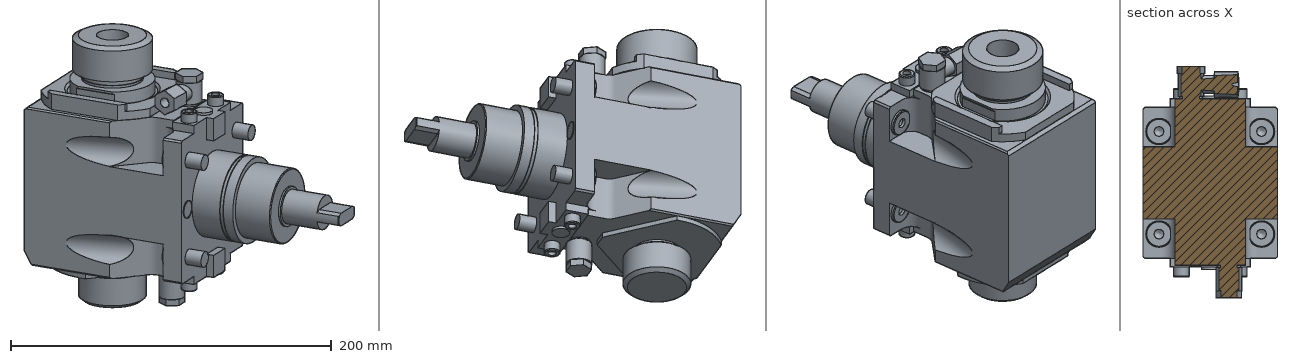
import cadquery as cq
import math


HALF_WIDTH = 42.0
BODY_LEFT = -110.45
BODY_TOP = 52.5
BODY_BOTTOM = -51.5
TOP_FRONT_CHAMFER = 2.0
SIDE_CHAMFER = 1.0
BOTTOM_CHAMFER_RISE = 9.4
BOTTOM_CHAMFER_RUN = BOTTOM_CHAMFER_RISE * math.tan(math.radians(30))
SHOULDER_X = -50.4
NECK_HALF_WIDTH = 22.0
NECK_END = -15.7
CORNER_RADIUS = 8.0
WEB_HALF_HEIGHT = 22.6

FLANGE_THICKNESS = 12.8
FLANGE_HALF_HEIGHT = 47.2
FLANGE_CHAMFER = 1.2
BLOCK_LENGTH = 15.0
BLOCK_HALF_WIDTH = 25.0
KEY_LENGTH = 5.0
KEY_HALF_WIDTH = 7.7
KEY_HEIGHT = 14.7
BOLT_OFFSET = 32.0
BOLT_DIAMETER = 10.0
BOLT_REACH = 11.2
BOLT_HEAD_DIAMETER = 16.5
BOLT_HEAD_HEIGHT = 2.0
BOLT_HEAD_CHAMFER = 0.6
BOLT_SOCKET_DIAMETER = 6.0
BOLT_SOCKET_DEPTH = 2.0
FACE_PLUG_Y = 34.0
FACE_PLUG_DIAMETER = 11.2
FACE_PLUG_HEIGHT = 0.6

CAP_SCREW_X = -6.9
CAP_SCREW_Y = 18.0
CAP_SCREW_DIAMETER = 10.0
CAP_SCREW_HEIGHT = 6.4
CAP_SCREW_CHAMFER = 0.6
CAP_SOCKET_DIAMETER = 5.2
CAP_SOCKET_DEPTH = 2.5
BLOCK_PLUG_X = -6.0
BLOCK_PLUG_DIAMETER = 11.2
BLOCK_PLUG_HEIGHT = 1.7

SCOOP_RADIUS = 9.8
SCOOP_Z = 32.4
SCOOP_TIP_X = -80.9
SCOOP_ANGLE = 15.0
SCOOP_LENGTH = 100.0

DRILL_POINT_ANGLE = 118.0

SHANK_DIAMETER = 55.0
GROOVE_DIAMETER = 53.6
GROOVE_START = 19.4
GROOVE_END = 21.7
SHANK_END = 28.6
NOSE_DIAMETER = 48.0
NOSE_END = 53.1
NOSE_CHAMFER = 0.6
SEAL_DIAMETER = 25.6
SEAL_END = 54.4
SHAFT_DIAMETER = 22.0
SHAFT_END = 79.0
TANG_END = 94.45
TANG_HALF_THICKNESS = 4.2
TANG_EDGE_HALF_THICKNESS = 2.8
TANG_FLAT_HALF_WIDTH = 7.6
TANG_END_CHAMFER = 0.5

SPINDLE_X = -70.0
COVER_HALF_SIZE = 38.2
COVER_RADIUS = 44.6
COVER_TOP = 58.2
COVER_BORE_DIAMETER = 59.7
COVER_BORE_FLOOR_DIAMETER = 56.5
COVER_BORE_DEPTH = 1.5
RAIL_HALF_LENGTH = 27.0
RAIL_INNER_Y = 32.4
RAIL_TOP = 62.8
COLLAR_DIAMETER = 53.3
COLLAR_TOP = 65.1
COLLAR_LIP_HEIGHT = 1.6
COLLAR_LIP_HALF_WIDTH = 23.8
COLLAR_FLAT_HALF_WIDTH = 23.1
UPPER_NECK_DIAMETER = 39.8
UPPER_RELIEF_DIAMETER = 38.6
UPPER_RELIEF_TOP = 66.9
UPPER_NUT_DIAMETER = 50.2
UPPER_NUT_BOTTOM = 71.3
UPPER_NUT_TOP = 93.6
UPPER_NUT_CHAMFER_RUN = 3.8
UPPER_NUT_CHAMFER_RISE = 2.0
SPINDLE_BORE_DIAMETER = 20.0
SPINDLE_BORE_DEPTH = 25.0

LOWER_COVER_BOTTOM = -54.6
LOWER_COVER_RADIUS = 41.0
LOWER_COVER_LEFT = -104.8
LOWER_COVER_RIGHT = -32.0
LOWER_COVER_SHOULDER_X = -68.0
LOWER_RELIEF_DIAMETER = 30.2
LOWER_RELIEF_BOTTOM = -56.5
LOWER_NECK_DIAMETER = 32.2
LOWER_NUT_DIAMETER = 42.4
LOWER_NUT_TOP = -60.0
LOWER_NUT_BOTTOM = -80.22
LOWER_NUT_CHAMFER_RUN = 2.7
LOWER_NUT_CHAMFER_RISE = 2.3

FITTING_X = -22.3
FITTING_Y = 12.0
LOWER_FITTING_Y = -11.6
FITTING_DIAMETER = 16.2
FITTING_FOOT_DIAMETER = 14.6
FITTING_FOOT_HEIGHT = 1.4
UPPER_FITTING_TOP = 68.2
UPPER_FITTING_HEX_TOP = 72.6
LOWER_FITTING_BOTTOM = -67.5
LOWER_FITTING_HEX_BOTTOM = -71.8
FITTING_HEX_FLATS = 13.9
UPPER_HEX_FLATS = 15.0
NOZZLE_Z = 61.3
NOZZLE_TURN = 4.1
NOZZLE_PIPE_DIAMETER = 11.4
NOZZLE_HEX_START = 14.7
NOZZLE_END = 29.4
NOZZLE_HOLE_DIAMETER = 6.2
NOZZLE_HOLE_DEPTH = 8.0


def span_box(x0, x1, y0, y1, z0, z1):
    """Box between opposite corners."""
    return cq.Workplane("XY").box(x1 - x0, y1 - y0, z1 - z0, centered=False).translate((x0, y0, z0))


def disc(x, y, z0, z1, diameter):
    """Upright cylinder between two heights."""
    return cq.Workplane("XY", origin=(x, y, z0)).circle(diameter / 2).extrude(z1 - z0)


def rod(y, z, x0, x1, diameter):
    """Cylinder along X between two positions."""
    return cq.Workplane("YZ", origin=(x0, y, z)).circle(diameter / 2).extrude(x1 - x0)


def drilling(mouth, direction, diameter, depth):
    """Blind round hole with a conical drill point beyond its straight depth."""
    axis = cq.Vector(*direction)
    start = cq.Vector(*mouth)
    point_depth = diameter / 2 / math.tan(math.radians(DRILL_POINT_ANGLE / 2))
    straight = cq.Solid.makeCylinder(diameter / 2, depth, start, axis)
    point = cq.Solid.makeCone(diameter / 2, 0, point_depth, start + axis * depth, axis)
    return cq.Workplane(straight).union(cq.Workplane(point))


def hexagon(workplane, flats):
    """Hexagon outline with two corners on the local X axis."""
    return workplane.polygon(6, flats / math.cos(math.radians(30)))


def hex_bar(x, y, z0, z1, flats):
    """Upright hexagonal bar with a corner facing -Y."""
    bar = hexagon(cq.Workplane("XY"), flats).extrude(z1 - z0)
    return bar.rotate((0, 0, 0), (0, 0, 1), 90).translate((x, y, z0))


def make_housing():
    run = HALF_WIDTH - NECK_HALF_WIDTH
    corner_x = SHOULDER_X + run
    tangent = CORNER_RADIUS * math.tan(math.radians(22.5))
    diagonal_end = (
        corner_x - tangent * math.cos(math.radians(45)),
        NECK_HALF_WIDTH + tangent * math.sin(math.radians(45)),
    )
    neck_start = (corner_x + tangent, NECK_HALF_WIDTH)
    half = (
        cq.Workplane("XY", origin=(0, 0, BODY_BOTTOM))
        .moveTo(BODY_LEFT, 0)
        .lineTo(BODY_LEFT, HALF_WIDTH)
        .lineTo(SHOULDER_X, HALF_WIDTH)
        .lineTo(*diagonal_end)
        .tangentArcPoint(neck_start, relative=False)
        .lineTo(NECK_END, NECK_HALF_WIDTH)
        .lineTo(NECK_END, 0)
        .close()
        .extrude(BODY_TOP - BODY_BOTTOM)
    )
    housing = half.union(half.mirror("XZ"))

    side_profile = (
        cq.Workplane("XZ")
        .polyline([
            (BODY_LEFT, BODY_BOTTOM + BOTTOM_CHAMFER_RISE),
            (BODY_LEFT, BODY_TOP - TOP_FRONT_CHAMFER),
            (BODY_LEFT + TOP_FRONT_CHAMFER, BODY_TOP),
            (0, BODY_TOP),
            (0, BODY_BOTTOM),
            (BODY_LEFT + BOTTOM_CHAMFER_RUN, BODY_BOTTOM),
        ])
        .close()
        .extrude(HALF_WIDTH, both=True)
    )
    end_profile = (
        cq.Workplane("YZ", origin=(BODY_LEFT, 0, (BODY_TOP + BODY_BOTTOM) / 2))
        .rect(2 * HALF_WIDTH, BODY_TOP - BODY_BOTTOM)
        .extrude(-BODY_LEFT)
        .edges("|X")
        .chamfer(SIDE_CHAMFER)
    )
    housing = housing.intersect(side_profile).intersect(end_profile)
    for y_side in (1, -1):
        for z_side in (1, -1):
            housing = housing.cut(make_scoop(y_side, z_side))
    web = span_box(SHOULDER_X, 0, -HALF_WIDTH, HALF_WIDTH, -WEB_HALF_HEIGHT, WEB_HALF_HEIGHT)
    return housing.union(web)


def make_scoop(y_side, z_side):
    """Round cutter running into the side of the housing at a shallow angle."""
    angle = math.radians(SCOOP_ANGLE)
    direction = (math.cos(angle), -y_side * math.sin(angle), 0)
    tip = cq.Vector(SCOOP_TIP_X, y_side * HALF_WIDTH, z_side * SCOOP_Z)
    to_axis = cq.Vector(math.sin(angle), y_side * math.cos(angle), 0) * SCOOP_RADIUS
    start = tip + to_axis - cq.Vector(*direction) * (SCOOP_LENGTH / 2)
    return cq.Workplane(cq.Solid.makeCylinder(SCOOP_RADIUS, SCOOP_LENGTH, start, cq.Vector(*direction)))


def make_flange():
    fillet_y = NECK_HALF_WIDTH + CORNER_RADIUS
    half = (
        cq.Workplane("XY", origin=(0, 0, -FLANGE_HALF_HEIGHT))
        .lineTo(0, HALF_WIDTH)
        .lineTo(-FLANGE_THICKNESS, HALF_WIDTH)
        .lineTo(-FLANGE_THICKNESS, fillet_y)
        .tangentArcPoint((-FLANGE_THICKNESS - CORNER_RADIUS, NECK_HALF_WIDTH), relative=False)
        .lineTo(-FLANGE_THICKNESS - CORNER_RADIUS, 0)
        .close()
        .extrude(2 * FLANGE_HALF_HEIGHT)
    )
    half = half.faces(">Y").edges("|X").chamfer(FLANGE_CHAMFER)
    flange = half.union(half.mirror("XZ"))
    for side in (1, -1):
        block = span_box(
            -BLOCK_LENGTH, 0, -BLOCK_HALF_WIDTH, BLOCK_HALF_WIDTH, FLANGE_HALF_HEIGHT, BODY_TOP)
        flange = flange.union(block if side > 0 else block.mirror("XY"))
        key = span_box(0, KEY_LENGTH, -KEY_HALF_WIDTH, KEY_HALF_WIDTH, BODY_TOP - KEY_HEIGHT, BODY_TOP)
        flange = flange.union(key if side > 0 else key.mirror("XY"))
        flange = flange.union(rod(side * FACE_PLUG_Y, 0, 0, FACE_PLUG_HEIGHT, FACE_PLUG_DIAMETER))
    return flange


def add_mounting_bolts(part):
    head_x = -FLANGE_THICKNESS - BOLT_HEAD_HEIGHT
    for y in (-BOLT_OFFSET, BOLT_OFFSET):
        for z in (-BOLT_OFFSET, BOLT_OFFSET):
            head = rod(y, z, head_x, -FLANGE_THICKNESS, BOLT_HEAD_DIAMETER)
            part = part.union(head.faces("<X").edges().chamfer(BOLT_HEAD_CHAMFER))
            part = part.union(rod(y, z, 0, BOLT_REACH, BOLT_DIAMETER))
            part = part.cut(drilling((head_x, y, z), (1, 0, 0), BOLT_SOCKET_DIAMETER, BOLT_SOCKET_DEPTH))
    return part


def make_block_hardware():
    """Socket screws and plug standing on the top of the flange block."""
    screw_top = BODY_TOP + CAP_SCREW_HEIGHT
    hardware = disc(BLOCK_PLUG_X, 0, BODY_TOP, BODY_TOP + BLOCK_PLUG_HEIGHT, BLOCK_PLUG_DIAMETER)
    for y in (-CAP_SCREW_Y, CAP_SCREW_Y):
        screw = disc(CAP_SCREW_X, y, BODY_TOP, screw_top, CAP_SCREW_DIAMETER)
        screw = screw.faces(">Z").edges().chamfer(CAP_SCREW_CHAMFER)
        socket = drilling((CAP_SCREW_X, y, screw_top), (0, 0, -1), CAP_SOCKET_DIAMETER, CAP_SOCKET_DEPTH)
        hardware = hardware.union(screw.cut(socket))
    return hardware


def make_shank():
    shank = rod(0, 0, 0, SHANK_END, SHANK_DIAMETER)
    groove = rod(0, 0, GROOVE_START, GROOVE_END, SHANK_DIAMETER)
    groove = groove.cut(rod(0, 0, GROOVE_START, GROOVE_END, GROOVE_DIAMETER))
    nose = rod(0, 0, SHANK_END, NOSE_END, NOSE_DIAMETER).faces(">X").edges().chamfer(NOSE_CHAMFER)
    seal = rod(0, 0, NOSE_END, SEAL_END, SEAL_DIAMETER)
    shaft = rod(0, 0, SEAL_END, SHAFT_END, SHAFT_DIAMETER)
    tang_round = rod(0, 0, SHAFT_END, TANG_END, SHAFT_DIAMETER)
    tang_round = tang_round.faces(">X").edges().chamfer(TANG_END_CHAMFER)
    tang_profile = (
        cq.Workplane("YZ", origin=(SHAFT_END, 0, 0))
        .polyline([
            (-TANG_FLAT_HALF_WIDTH, TANG_HALF_THICKNESS),
            (TANG_FLAT_HALF_WIDTH, TANG_HALF_THICKNESS),
            (SHAFT_DIAMETER / 2, TANG_EDGE_HALF_THICKNESS),
            (SHAFT_DIAMETER / 2, -TANG_EDGE_HALF_THICKNESS),
            (TANG_FLAT_HALF_WIDTH, -TANG_HALF_THICKNESS),
            (-TANG_FLAT_HALF_WIDTH, -TANG_HALF_THICKNESS),
            (-SHAFT_DIAMETER / 2, -TANG_EDGE_HALF_THICKNESS),
            (-SHAFT_DIAMETER / 2, TANG_EDGE_HALF_THICKNESS),
        ])
        .close()
        .extrude(TANG_END - SHAFT_END)
    )
    tang = tang_round.intersect(tang_profile)
    return shank.cut(groove).union(nose).union(seal).union(shaft).union(tang)


def make_upper_cover():
    """Square cover with rounded corners, two rails and a tapered recess."""
    outline = span_box(
        SPINDLE_X - COVER_HALF_SIZE, SPINDLE_X + COVER_HALF_SIZE,
        -COVER_HALF_SIZE, COVER_HALF_SIZE, BODY_TOP, RAIL_TOP)
    outline = outline.intersect(disc(SPINDLE_X, 0, BODY_TOP, RAIL_TOP, 2 * COVER_RADIUS))
    above_plate = span_box(
        SPINDLE_X - COVER_RADIUS, SPINDLE_X + COVER_RADIUS,
        -COVER_RADIUS, COVER_RADIUS, COVER_TOP, RAIL_TOP)
    for side in (1, -1):
        rail = span_box(
            SPINDLE_X - RAIL_HALF_LENGTH, SPINDLE_X + RAIL_HALF_LENGTH,
            RAIL_INNER_Y, COVER_HALF_SIZE, COVER_TOP, RAIL_TOP)
        above_plate = above_plate.cut(rail if side > 0 else rail.mirror("XZ"))
    recess = cq.Solid.makeCone(
        COVER_BORE_FLOOR_DIAMETER / 2, COVER_BORE_DIAMETER / 2, COVER_BORE_DEPTH,
        cq.Vector(SPINDLE_X, 0, COVER_TOP - COVER_BORE_DEPTH))
    return outline.cut(above_plate).cut(cq.Workplane(recess))


def make_upper_spindle():
    recess_floor = COVER_TOP - COVER_BORE_DEPTH
    lip_bottom = COLLAR_TOP - COLLAR_LIP_HEIGHT
    radius = COLLAR_DIAMETER / 2
    collar = disc(SPINDLE_X, 0, recess_floor, COLLAR_TOP, COLLAR_DIAMETER)
    flats = span_box(
        SPINDLE_X - radius, SPINDLE_X + radius,
        -COLLAR_FLAT_HALF_WIDTH, COLLAR_FLAT_HALF_WIDTH, recess_floor, lip_bottom)
    flats = flats.union(span_box(
        SPINDLE_X - radius, SPINDLE_X + radius,
        -COLLAR_LIP_HALF_WIDTH, COLLAR_LIP_HALF_WIDTH, lip_bottom, COLLAR_TOP))
    spindle = collar.intersect(flats)
    spindle = spindle.union(disc(SPINDLE_X, 0, COLLAR_TOP, UPPER_RELIEF_TOP, UPPER_RELIEF_DIAMETER))
    spindle = spindle.union(disc(SPINDLE_X, 0, UPPER_RELIEF_TOP, UPPER_NUT_BOTTOM, UPPER_NECK_DIAMETER))
    nut = disc(SPINDLE_X, 0, UPPER_NUT_BOTTOM, UPPER_NUT_TOP, UPPER_NUT_DIAMETER)
    nut = nut.faces(">Z").edges().chamfer(UPPER_NUT_CHAMFER_RISE, UPPER_NUT_CHAMFER_RUN)
    bore = disc(SPINDLE_X, 0, UPPER_NUT_TOP - SPINDLE_BORE_DEPTH, UPPER_NUT_TOP, SPINDLE_BORE_DIAMETER)
    return spindle.union(nut).cut(bore)


def make_lower_cover():
    """Round cover with a flat on the left and 45 degree flanks on the right."""
    right_half_width = LOWER_COVER_RADIUS - (LOWER_COVER_RIGHT - LOWER_COVER_SHOULDER_X)
    left_half_width = math.sqrt(LOWER_COVER_RADIUS ** 2 - (LOWER_COVER_LEFT - SPINDLE_X) ** 2)
    shoulder_y = math.sqrt(LOWER_COVER_RADIUS ** 2 - (LOWER_COVER_SHOULDER_X - SPINDLE_X) ** 2)
    arc_x = SPINDLE_X - LOWER_COVER_RADIUS * math.cos(math.radians(60))
    arc_y = LOWER_COVER_RADIUS * math.sin(math.radians(60))
    return (
        cq.Workplane("XY", origin=(0, 0, LOWER_COVER_BOTTOM))
        .moveTo(LOWER_COVER_LEFT, -left_half_width)
        .threePointArc((arc_x, -arc_y), (LOWER_COVER_SHOULDER_X, -shoulder_y))
        .lineTo(LOWER_COVER_RIGHT, -right_half_width)
        .lineTo(LOWER_COVER_RIGHT, right_half_width)
        .lineTo(LOWER_COVER_SHOULDER_X, shoulder_y)
        .threePointArc((arc_x, arc_y), (LOWER_COVER_LEFT, left_half_width))
        .close()
        .extrude(BODY_BOTTOM - LOWER_COVER_BOTTOM)
    )


def make_lower_spindle():
    relief = disc(SPINDLE_X, 0, LOWER_RELIEF_BOTTOM, LOWER_COVER_BOTTOM, LOWER_RELIEF_DIAMETER)
    neck = disc(SPINDLE_X, 0, LOWER_NUT_TOP, LOWER_RELIEF_BOTTOM, LOWER_NECK_DIAMETER)
    nut = disc(SPINDLE_X, 0, LOWER_NUT_BOTTOM, LOWER_NUT_TOP, LOWER_NUT_DIAMETER)
    nut = nut.faces("<Z").edges().chamfer(LOWER_NUT_CHAMFER_RISE, LOWER_NUT_CHAMFER_RUN)
    return relief.union(neck).union(nut)


def make_nozzle():
    """Pipe and hexagonal nozzle leaving the upper fitting towards -Y."""
    pipe = cq.Workplane("XZ").circle(NOZZLE_PIPE_DIAMETER / 2).extrude(NOZZLE_HEX_START)
    head = hexagon(cq.Workplane("XZ", origin=(0, -NOZZLE_HEX_START, 0)), FITTING_HEX_FLATS)
    head = head.extrude(NOZZLE_END - NOZZLE_HEX_START).rotate((0, 0, 0), (0, 1, 0), 90)
    hole = drilling((0, -NOZZLE_END, 0), (0, 1, 0), NOZZLE_HOLE_DIAMETER, NOZZLE_HOLE_DEPTH)
    nozzle = pipe.union(head).cut(hole).rotate((0, 0, 0), (0, 0, 1), -NOZZLE_TURN)
    return nozzle.translate((FITTING_X, FITTING_Y, NOZZLE_Z))


def make_fittings():
    upper_foot_top = BODY_TOP + FITTING_FOOT_HEIGHT
    upper = disc(FITTING_X, FITTING_Y, BODY_TOP, upper_foot_top, FITTING_FOOT_DIAMETER)
    upper = upper.union(disc(FITTING_X, FITTING_Y, upper_foot_top, UPPER_FITTING_TOP, FITTING_DIAMETER))
    upper = upper.union(hex_bar(
        FITTING_X, FITTING_Y, UPPER_FITTING_TOP, UPPER_FITTING_HEX_TOP, UPPER_HEX_FLATS))

    lower_foot_bottom = BODY_BOTTOM - FITTING_FOOT_HEIGHT
    lower = disc(FITTING_X, LOWER_FITTING_Y, lower_foot_bottom, BODY_BOTTOM, FITTING_FOOT_DIAMETER)
    lower = lower.union(disc(
        FITTING_X, LOWER_FITTING_Y, LOWER_FITTING_BOTTOM, lower_foot_bottom, FITTING_DIAMETER))
    lower = lower.union(hex_bar(
        FITTING_X, LOWER_FITTING_Y, LOWER_FITTING_HEX_BOTTOM, LOWER_FITTING_BOTTOM, FITTING_HEX_FLATS))
    return upper.union(make_nozzle()).union(lower)


block_hardware = make_block_hardware()
holder = make_housing().union(make_flange())
holder = add_mounting_bolts(holder)
holder = holder.union(block_hardware).union(block_hardware.mirror("XY"))
holder = holder.union(make_shank())
holder = holder.union(make_upper_cover()).union(make_upper_spindle())
holder = holder.union(make_lower_cover()).union(make_lower_spindle())
result = holder.union(make_fittings())